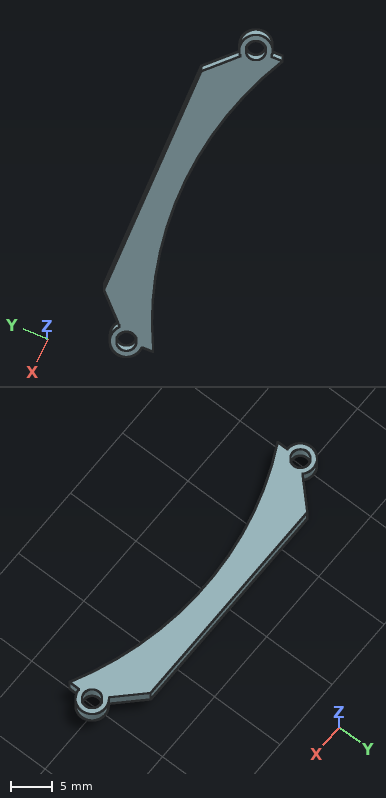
import cadquery as cq

length = 44.0
depth = 8.5
thickness = 2.0

lug_diameter = 4.0
hole_diameter = 2.4
lug_x = (length - lug_diameter) / 2
lug_y = 3.48

top_edge_length = 30.1
arch_rise = 4.9
shoulder_slope = 1.0
shoulder_end_y = depth - shoulder_slope * (lug_x - top_edge_length / 2)


def make_plate():
    """Flat plate with sloping shoulders above and a shallow arch below."""
    return (
        cq.Workplane("XY")
        .moveTo(-lug_x, 0)
        .lineTo(-lug_x, shoulder_end_y)
        .lineTo(-top_edge_length / 2, depth)
        .lineTo(top_edge_length / 2, depth)
        .lineTo(lug_x, shoulder_end_y)
        .lineTo(lug_x, 0)
        .threePointArc((0, arch_rise), (-lug_x, 0))
        .close()
        .extrude(thickness)
    )


def make_end_cylinders(diameter):
    """One cylinder at each end of the plate, on the lug centres."""
    return (
        cq.Workplane("XY")
        .pushPoints([(-lug_x, lug_y), (lug_x, lug_y)])
        .circle(diameter / 2)
        .extrude(thickness)
    )


result = (
    make_plate()
    .union(make_end_cylinders(lug_diameter))
    .cut(make_end_cylinders(hole_diameter))
)